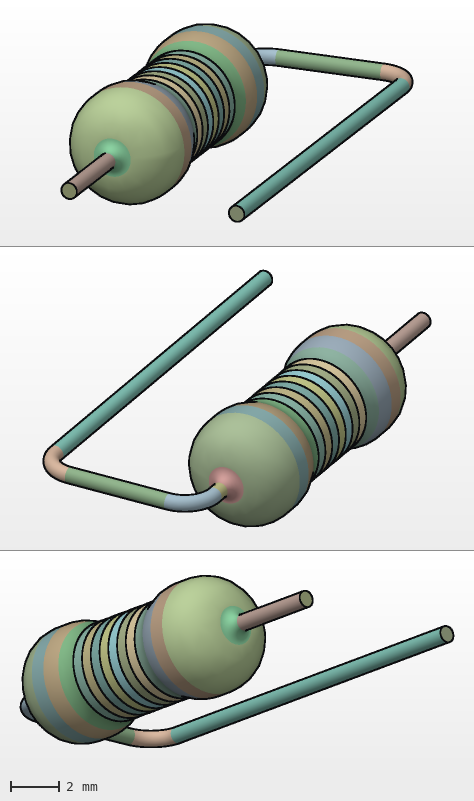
import cadquery as cq
import math


body_length = 12.0
cap_radius = 2.5
cap_corner_radius = 1.75
cap_land_length = 0.75

barrel_radius = 4.25 / 2
band_radius = 4.27 / 2
band_count = 7
barrel_length = 4.0
band_pitch = barrel_length / band_count

wire_radius = 0.7 / 2
bend_radius = 4 * wire_radius
lead_spacing = 7.5
lead_end_y = -10.6
neck_fillet_radius = 0.5
bend_clearance = 0.5

body_end = body_length / 2
neck_end = body_end + neck_fillet_radius
land_outer = body_end - cap_corner_radius
land_inner = land_outer - cap_land_length
barrel_end = barrel_length / 2
bend_start = neck_end + bend_clearance
crossbar_y = bend_start + bend_radius


def shoulder_points():
    """Key points of the S-curve of two equal tangent arcs from cap to barrel."""
    half_run = (land_inner - barrel_end) / 2
    half_drop = (cap_radius - barrel_radius) / 2
    arc_radius = (half_run**2 + half_drop**2) / (2 * half_drop)
    mid_angle = math.asin(half_run / arc_radius) / 2
    run = arc_radius * math.sin(mid_angle)
    drop = arc_radius * (1 - math.cos(mid_angle))
    convex_mid = (cap_radius - drop, land_inner - run)
    inflection = (cap_radius - half_drop, land_inner - half_run)
    concave_mid = (barrel_radius + drop, barrel_end + run)
    return convex_mid, inflection, concave_mid


def arc_point(center, radius, angle):
    return (center[0] + radius * math.cos(angle), center[1] + radius * math.sin(angle))


def make_cap():
    """Rounded cap at the +Y end, from the barrel to the end of the neck fillet."""
    convex_mid, inflection, concave_mid = shoulder_points()

    corner_center = (cap_radius - cap_corner_radius, land_outer)
    fillet_x = wire_radius + neck_fillet_radius
    offset_x = fillet_x - corner_center[0]
    offset_y = math.sqrt((cap_corner_radius + neck_fillet_radius)**2 - offset_x**2)
    fillet_center = (fillet_x, land_outer + offset_y)
    touch_angle = math.atan2(offset_y, offset_x)
    touch = arc_point(corner_center, cap_corner_radius, touch_angle)
    corner_mid = arc_point(corner_center, cap_corner_radius, touch_angle / 2)

    fillet_mid_angle = math.pi + touch_angle / 2
    fillet_mid = arc_point(fillet_center, neck_fillet_radius, fillet_mid_angle)
    neck_top = fillet_center[1]

    profile = (
        cq.Workplane("XY")
        .moveTo(0, barrel_end)
        .lineTo(barrel_radius, barrel_end)
        .threePointArc(concave_mid, inflection)
        .threePointArc(convex_mid, (cap_radius, land_inner))
        .lineTo(cap_radius, land_outer)
        .threePointArc(corner_mid, touch)
        .threePointArc(fillet_mid, (wire_radius, neck_top))
        .lineTo(wire_radius, neck_end)
        .lineTo(0, neck_end)
        .close()
    )
    return profile.revolve(360, (0, 0, 0), (0, 1, 0))


def cylinder_along_y(radius, start_y, end_y):
    solid = cq.Solid.makeCylinder(radius, end_y - start_y, cq.Vector(0, start_y, 0), cq.Vector(0, 1, 0))
    return cq.Workplane(solid)


def make_barrel():
    """Barrel core with every second band standing slightly proud."""
    barrel = cylinder_along_y(barrel_radius, -barrel_end, barrel_end)
    for index in range(0, band_count, 2):
        start_y = -barrel_end + index * band_pitch
        barrel = barrel.union(cylinder_along_y(band_radius, start_y, start_y + band_pitch))
    return barrel


def make_bent_lead():
    """Lead leaving the +Y cap, bent twice to run back beside the body."""
    bend_mid = bend_radius * math.sin(math.pi / 4)
    first_mid = (bend_radius - bend_mid, bend_start + bend_mid)
    second_mid = (lead_spacing - first_mid[0], first_mid[1])
    path = (
        cq.Workplane("XY")
        .moveTo(0, neck_end)
        .lineTo(0, bend_start)
        .threePointArc(first_mid, (bend_radius, crossbar_y))
        .lineTo(lead_spacing - bend_radius, crossbar_y)
        .threePointArc(second_mid, (lead_spacing, bend_start))
        .lineTo(lead_spacing, lead_end_y)
    )
    section = cq.Workplane("XZ", origin=(0, neck_end, 0)).circle(wire_radius)
    return section.sweep(path)


cap = make_cap()
straight_lead = cylinder_along_y(wire_radius, lead_end_y, -neck_end)

result = (
    make_barrel()
    .union(cap)
    .union(cap.mirror("XZ"))
    .union(straight_lead)
    .union(make_bent_lead())
)